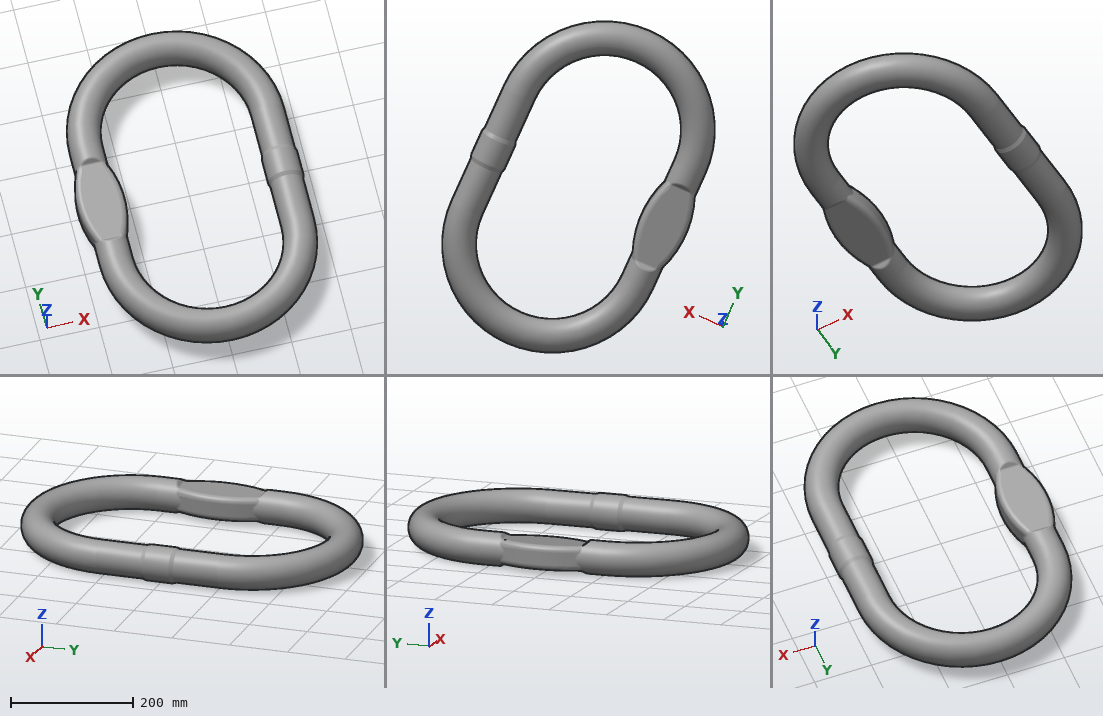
import cadquery as cq
import math

BAR_DIAMETER = 56.0
OUTER_LENGTH = 571.56
STRAIGHT_LENGTH = 210.0
BAR_RADIUS = BAR_DIAMETER / 2
BEND_RADIUS = (OUTER_LENGTH - STRAIGHT_LENGTH) / 2 - BAR_RADIUS

COLLAR_DIAMETER = 60.2
COLLAR_LENGTH = 57.0
COLLAR_CREST_LENGTH = 43.0

OVERALL_WIDTH = 375.2
PAD_WIDTH = 2 * (OVERALL_WIDTH - 2 * BEND_RADIUS - COLLAR_DIAMETER / 2)
PAD_THICKNESS = 42.0
PAD_LENGTH = 150.0
PAD_SIDE_RADIUS = 175.0
PAD_EDGE_RADIUS = 10.0

FLAT_LENGTH = 140.0
RAMP_ANGLE = 45.0
RAMP_CREST_RADIUS = 4.0
BLEND_RADIUS = 5.0

SELECTION_MARGIN = 0.01


def make_bend(side):
    """Half-circle bend at the +Y (side = 1) or -Y (side = -1) end of the ring."""
    bend = cq.Workplane("XZ", origin=(BEND_RADIUS, side * STRAIGHT_LENGTH / 2, 0)).circle(BAR_RADIUS)
    return bend.revolve(180, (-BEND_RADIUS, 0, 0), (-BEND_RADIUS, side, 0))


def make_leg(center_x):
    """Straight round bar along Y."""
    return (
        cq.Workplane("XZ", origin=(center_x, 0, 0))
        .circle(BAR_RADIUS)
        .extrude(STRAIGHT_LENGTH / 2, both=True)
    )


def make_collar():
    """Slightly thicker band with tapered ends, turned about the +X leg."""
    crest_radius = COLLAR_DIAMETER / 2
    end = COLLAR_LENGTH / 2
    crest_end = COLLAR_CREST_LENGTH / 2
    outline = [
        (0, -end),
        (BAR_RADIUS, -end),
        (crest_radius, -crest_end),
        (crest_radius, crest_end),
        (BAR_RADIUS, end),
        (0, end),
    ]
    return (
        cq.Workplane("XY", origin=(BEND_RADIUS, 0, 0))
        .polyline(outline)
        .close()
        .revolve(360, (0, 0, 0), (0, 1, 0))
    )


def make_flat_cutter(side):
    """Block that leaves a flat with ramped ends on the +Z (side = 1) or -Z (side = -1) face."""
    flat_z = PAD_THICKNESS / 2
    cut_z = BAR_DIAMETER
    flat_end = FLAT_LENGTH / 2
    ramp_end = flat_end + (cut_z - flat_z) / math.tan(math.radians(RAMP_ANGLE))
    outline = [
        (-flat_end, side * flat_z),
        (flat_end, side * flat_z),
        (ramp_end, side * cut_z),
        (-ramp_end, side * cut_z),
    ]
    flat_edges = cq.selectors.DirectionMinMaxSelector(cq.Vector(0, 0, side), directionMax=False)
    return (
        cq.Workplane("YZ", origin=(-BEND_RADIUS, 0, 0))
        .polyline(outline)
        .close()
        .extrude(BAR_DIAMETER, both=True)
        .edges("|X")
        .edges(flat_edges)
        .fillet(BLEND_RADIUS)
    )


def make_pad():
    """Barrel-shaped plate with rounded long edges; its ends lie inside the bar."""
    end_y = PAD_LENGTH / 2
    side_x = PAD_WIDTH / 2
    end_x = side_x - PAD_SIDE_RADIUS + math.sqrt(PAD_SIDE_RADIUS**2 - end_y**2)
    return (
        cq.Workplane("XY", origin=(-BEND_RADIUS, 0, -PAD_THICKNESS / 2))
        .moveTo(end_x, -end_y)
        .threePointArc((side_x, 0), (end_x, end_y))
        .lineTo(-end_x, end_y)
        .threePointArc((-side_x, 0), (-end_x, -end_y))
        .close()
        .extrude(PAD_THICKNESS)
        .edges("%CIRCLE")
        .fillet(PAD_EDGE_RADIUS)
    )


def pad_end_selector():
    """Edges where the flat pad sides run into the bar, at both pad ends."""
    reach_x = BEND_RADIUS + PAD_WIDTH
    reach_z = PAD_THICKNESS / 2 - PAD_EDGE_RADIUS + SELECTION_MARGIN
    end_y = PAD_LENGTH / 2
    zones = [
        cq.selectors.BoxSelector((-reach_x, side * end_y, -reach_z), (0, 0, reach_z), boundingbox=True)
        for side in (1, -1)
    ]
    return zones[0] + zones[1]


def make_pad_leg():
    """The -X leg: flattened bar with rounded ramps, and the pad blended into it."""
    leg = make_leg(-BEND_RADIUS)
    for side in (1, -1):
        leg = leg.cut(make_flat_cutter(side))
    leg = leg.edges("%ELLIPSE").fillet(RAMP_CREST_RADIUS)
    leg = leg.union(make_pad())
    return leg.edges(pad_end_selector()).fillet(BLEND_RADIUS)


result = make_pad_leg().union(make_leg(BEND_RADIUS)).union(make_collar())
for end_side in (1, -1):
    result = result.union(make_bend(end_side))